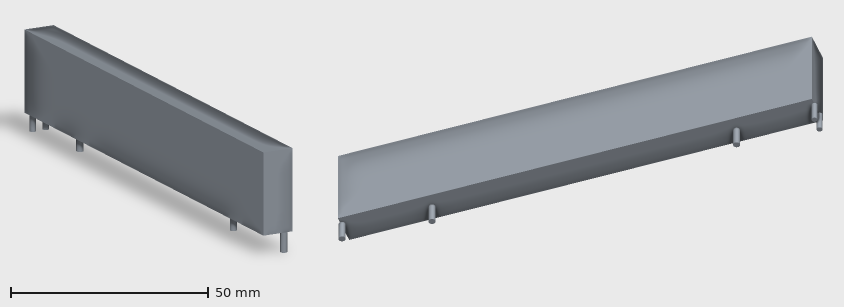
import cadquery as cq

overall_length = 129.1
overall_height = 27.1
pin_length = 5.2

housing_width = 8.4
housing_height = overall_height - pin_length
pin_overhang = 0.6
housing_length = overall_length - 2 * pin_overhang

thin_diameter = 1.5
thick_diameter = 1.8
pair_spacing = 3.7
row_offset = pair_spacing / 2
left_pair_x = -overall_length / 2 + thin_diameter / 2
right_pin_x = overall_length / 2 - thick_diameter / 2
right_pin_y = 1.8
inner_left_x = -42.1
inner_right_x = 40.0

thin_pin_places = [(left_pair_x, -row_offset), (left_pair_x, row_offset)]
thick_pin_places = [
    (inner_left_x, 0),
    (inner_right_x, 0),
    (right_pin_x, right_pin_y),
]


def make_housing():
    """Plain block with its underside at Z = 0."""
    return cq.Workplane("XY").box(
        housing_length, housing_width, housing_height, centered=(True, True, False)
    )


def make_pin(diameter, place):
    """Round pin hanging down from the underside of the housing."""
    return cq.Workplane("XY").center(*place).circle(diameter / 2).extrude(-pin_length)


housing = make_housing()
thin_pins = [make_pin(thin_diameter, place) for place in thin_pin_places]
thick_pins = [make_pin(thick_diameter, place) for place in thick_pin_places]

result = cq.Compound.makeCompound(
    [housing.val()] + [pin.val() for pin in thin_pins + thick_pins]
)